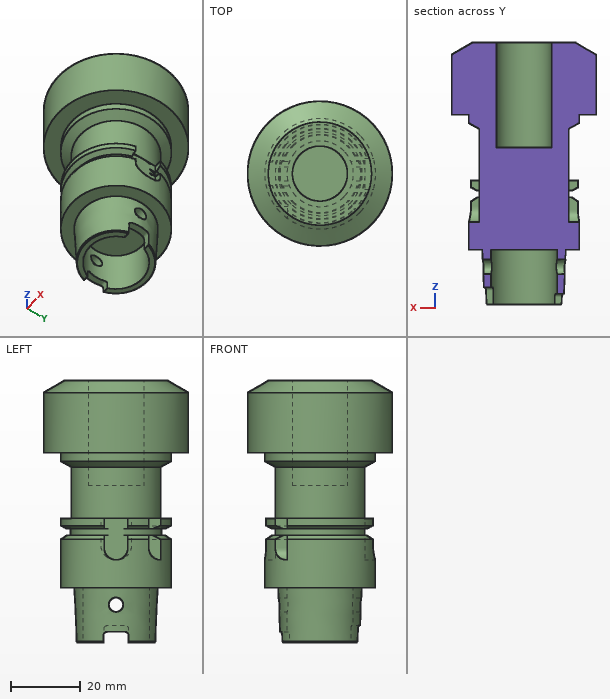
import cadquery as cq

TOTAL_HEIGHT = 76.0
SHANK_TOP = 15.9
GROOVE_LOWER_EDGE = 29.95
GROOVE_FLOOR_BOTTOM = 31.15
GROOVE_FLOOR_TOP = 33.05
GROOVE_UPPER_EDGE = 34.0
FLANGE_TOP = 36.0
COLLAR_CHAMFER_BOTTOM = 50.9
COLLAR_CHAMFER_TOP = 52.6
NUT_BOTTOM = 55.0
NUT_CHAMFER_BOTTOM = 72.5

NUT_RADIUS = 42.0 / 2
NUT_FACE_RADIUS = 15.0
FLANGE_RADIUS = 16.0
GROOVE_RADIUS = 13.2
GROOVE_LOWER_LAND_RADIUS = 14.2
GROOVE_UPPER_LAND_RADIUS = 14.4
NECK_RADIUS = 13.0
SHANK_TOP_RADIUS = 12.15
SHANK_END_RADIUS = 11.5
END_CHAMFER = 0.45
END_CHAMFER_INSET = 0.2

COLLET_BORE_RADIUS = 8.0
COLLET_BORE_DEPTH = 30.4
SHANK_BORE_RADIUS = 9.6
SHANK_BORE_DEPTH = SHANK_TOP
CROSS_HOLE_RADIUS = 2.05
CROSS_HOLE_HEIGHT = 11.0

SLOT_WIDTH = 6.85
WIDE_SLOT_WIDTH = 9.0
SLOT_BOTTOM = 24.0
SLOT_FLOOR_X = NECK_RADIUS
CORNER_INSET = 9.5

NOTCH_WIDTH = 7.15
NOTCH_CORNER_RADIUS = 0.9
LEFT_NOTCH_HEIGHT = 3.1
RIGHT_NOTCH_HEIGHT = 5.0


def turned_body():
    """Solid of revolution from the tapered shank up to the nut."""
    profile = [
        (0, 0),
        (SHANK_END_RADIUS - END_CHAMFER_INSET, 0),
        (SHANK_END_RADIUS, END_CHAMFER),
        (SHANK_TOP_RADIUS, SHANK_TOP),
        (FLANGE_RADIUS, SHANK_TOP),
        (FLANGE_RADIUS, GROOVE_LOWER_EDGE),
        (GROOVE_LOWER_LAND_RADIUS, GROOVE_FLOOR_BOTTOM),
        (GROOVE_RADIUS, GROOVE_FLOOR_BOTTOM),
        (GROOVE_RADIUS, GROOVE_FLOOR_TOP),
        (GROOVE_UPPER_LAND_RADIUS, GROOVE_FLOOR_TOP),
        (FLANGE_RADIUS, GROOVE_UPPER_EDGE),
        (FLANGE_RADIUS, FLANGE_TOP),
        (NECK_RADIUS, FLANGE_TOP),
        (NECK_RADIUS, COLLAR_CHAMFER_BOTTOM),
        (FLANGE_RADIUS, COLLAR_CHAMFER_TOP),
        (FLANGE_RADIUS, NUT_BOTTOM),
        (NUT_RADIUS, NUT_BOTTOM),
        (NUT_RADIUS, NUT_CHAMFER_BOTTOM),
        (NUT_FACE_RADIUS, TOTAL_HEIGHT),
        (0, TOTAL_HEIGHT),
    ]
    return cq.Workplane("XZ").polyline(profile).close().revolve(360, (0, 0, 0), (0, 1, 0))


def flange_slot(start_x, end_x, center_y, width):
    """Slot along X with a round bottom, open at the flange top."""
    radius = width / 2
    return (
        cq.Workplane("YZ", origin=(start_x, center_y, 0))
        .moveTo(-radius, FLANGE_TOP)
        .lineTo(-radius, SLOT_BOTTOM + radius)
        .threePointArc((0, SLOT_BOTTOM), (radius, SLOT_BOTTOM + radius))
        .lineTo(radius, FLANGE_TOP)
        .close()
        .extrude(end_x - start_x)
    )


def drive_notch(side, height):
    """Notch through the shank wall on the given X side, with rounded upper corners."""
    length = SHANK_TOP_RADIUS
    return (
        cq.Workplane("XY")
        .box(length, NOTCH_WIDTH, height, centered=(True, True, False))
        .edges("|X and >Z")
        .fillet(NOTCH_CORNER_RADIUS)
        .translate((side * length / 2, 0, 0))
    )


result = turned_body()

collet_bore = (
    cq.Workplane("XY", origin=(0, 0, TOTAL_HEIGHT)).circle(COLLET_BORE_RADIUS).extrude(-COLLET_BORE_DEPTH)
)
shank_bore = cq.Workplane("XY").circle(SHANK_BORE_RADIUS).extrude(SHANK_BORE_DEPTH)
result = result.cut(collet_bore).cut(shank_bore)

result = result.cut(flange_slot(-NUT_RADIUS, -SLOT_FLOOR_X, 0, SLOT_WIDTH))
result = result.cut(flange_slot(SLOT_FLOOR_X, NUT_RADIUS, 0, WIDE_SLOT_WIDTH))

corner_slot_y = -CORNER_INSET - SLOT_WIDTH / 2
result = result.cut(flange_slot(-NUT_RADIUS, -CORNER_INSET, corner_slot_y, SLOT_WIDTH))

result = result.cut(drive_notch(-1, LEFT_NOTCH_HEIGHT))
result = result.cut(drive_notch(1, RIGHT_NOTCH_HEIGHT))

cross_hole = (
    cq.Workplane("YZ")
    .center(0, CROSS_HOLE_HEIGHT)
    .circle(CROSS_HOLE_RADIUS)
    .extrude(SHANK_TOP_RADIUS, both=True)
)
result = result.cut(cross_hole)